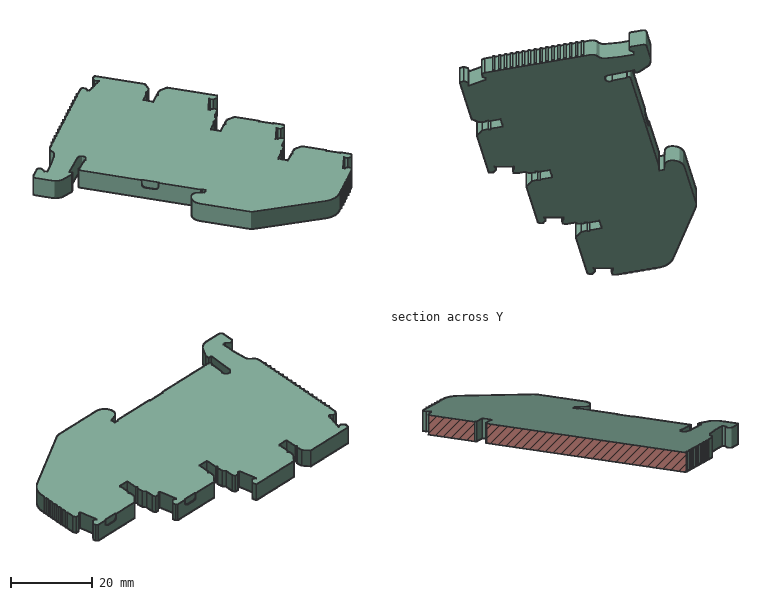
import cadquery as cq

THICKNESS = 5.2
BASE_LAYER = 0.2
TOP_Y = 47.8

SLOT_X = 18.0
STEP_X = 19.6
STEP_Y = 7.95
HEADS = [(SLOT_X + i * STEP_X, TOP_Y - i * STEP_Y) for i in range(3)]

SLOT_HALF = 1.3
SLOT_MOUTH_HALF = 1.4
SLOT_DEPTH = 7.0
MOUTH_TAPER_DEPTH = 2.9
BEVEL_DEPTH = 1.7
BEVEL_OUT = 2.85
ROOF_OUT = 15.8
WALL_OUT = 17.6
LIP_TO_SEAT = [
    (16.0, -1.1),
    (15.25, -2.0),
    (14.5, -2.0),
    (14.1, -1.8),
    (15.25, -6.5),
    (15.8, -6.5),
    (16.3, -5.9),
    (17.3, -5.9),
    (WALL_OUT, -6.75),
]
SHOULDER_DEPTH = 0.9
ROOF_CORNER = 0.4

SNAP_RADIUS = 0.3
SNAP_DEPTH = 3.6

RIB_RADIUS = 0.3
RIB_PITCH = 1.5
LEFT_RIB_COUNT = 16
LEFT_RIB_TOP = 38.7
RIGHT_RIB_COUNT = 6
RIGHT_RIB_TOP = 22.75

LEFT_WALL = SLOT_X - WALL_OUT
RIGHT_WALL = HEADS[-1][0] + WALL_OUT

RAIL_Y = 6.3
RAIL_CORNER_X = 9.85
RAIL_CORNER_RADIUS = 0.7
RIGHT_FOOT_Y = 0.2
RIGHT_FOOT_ROUND = 3.0
RIGHT_SIDE_ROUND = 4.8
TOE_POCKET_X = 42.65
TOE_POCKET_Y = 6.5
SPRING_OUTER_X = 2.8
SPRING_INNER_X = 8.0
SPRING_BARB_X = 8.9
SPRING_BARB_Y = 4.9
SPRING_HEEL_RADIUS = 0.75
SLOPE_START = (56.25, RIGHT_FOOT_Y)
SLOPE_END = (RIGHT_WALL, 11.35)

RECESS_INSET = 0.2
RECESS_HEIGHT = 2.1
RECESS_ROUND = 0.9
RAIL_RECESS_X = 28.4
RAIL_RECESS_WIDTH = 4.3
HEAD_RECESS_OUT = 11.0
HEAD_RECESS_WIDTH = 3.6


def head_profile(corner):
    """Slot floor to outer wall, relative to the slot centre and the roof."""
    roof_end = [(ROOF_OUT, 0)]
    if corner:
        roof_end = [(ROOF_OUT - corner, 0), (ROOF_OUT, -corner)]
    return [
        (SLOT_HALF, -SLOT_DEPTH),
        (SLOT_HALF, -MOUTH_TAPER_DEPTH),
        (SLOT_MOUTH_HALF, -BEVEL_DEPTH),
        (BEVEL_OUT, 0),
    ] + roof_end + LIP_TO_SEAT


def upper_outline():
    """Points from the left wall over all heads to the right wall."""
    points = [(SLOT_X - x, TOP_Y + y) for x, y in reversed(head_profile(0))]
    for i, (slot_x, top) in enumerate(HEADS):
        if i > 0:
            points += [
                (slot_x - STEP_X + WALL_OUT, top - SHOULDER_DEPTH),
                (slot_x - SLOT_MOUTH_HALF, top - BEVEL_DEPTH),
                (slot_x - SLOT_HALF, top - MOUTH_TAPER_DEPTH),
                (slot_x - SLOT_HALF, top - SLOT_DEPTH),
            ]
        corner = ROOF_CORNER if i > 0 else 0
        points += [(slot_x + x, top + y) for x, y in head_profile(corner)]
    return points


def plate():
    outline = (
        cq.Workplane("XY")
        .polyline(upper_outline())
        .lineTo(*SLOPE_END)
        .lineTo(*SLOPE_START)
        .lineTo(42.95, RIGHT_FOOT_Y)
        .threePointArc((40.8, 1.2), (39.95, 3.3))
        .threePointArc((40.3, 4.3), (41.2, 4.9))
        .lineTo(TOE_POCKET_X, 5.3)
        .lineTo(TOE_POCKET_X, TOE_POCKET_Y)
        .lineTo(41.75, TOE_POCKET_Y)
        .lineTo(41.4, RAIL_Y)
        .lineTo(RAIL_CORNER_X, RAIL_Y)
        .lineTo(RAIL_CORNER_X, 7.05)
        .lineTo(10.1, 7.2)
        .lineTo(10.2, 10.9)
        .threePointArc((9.2, 12.55), (8.25, 11.65))
        .lineTo(SPRING_INNER_X, SPRING_BARB_Y)
        .lineTo(SPRING_BARB_X, SPRING_BARB_Y)
        .lineTo(SPRING_BARB_X, 3.9)
        .lineTo(7.35, 1.05)
        .threePointArc((6.3, 0.3), (5.0, 0))
        .lineTo(0, 0)
        .lineTo(0, 3.75)
        .threePointArc((0.7, 4.4), (1.35, 4.2))
        .lineTo(2.0, 3.5)
        .lineTo(SPRING_OUTER_X, 3.7)
        .lineTo(SPRING_OUTER_X, 7.2)
        .lineTo(2.6, 8.85)
        .lineTo(2.4, 11.1)
        .threePointArc((2.0, 11.95), (1.35, 12.55))
        .threePointArc((0.7, 13.2), (LEFT_WALL, 14.1))
        .close()
    )
    body = outline.extrude(THICKNESS)
    for (x, y), radius in [
        (SLOPE_START, RIGHT_FOOT_ROUND),
        (SLOPE_END, RIGHT_SIDE_ROUND),
        ((RAIL_CORNER_X, RAIL_Y), RAIL_CORNER_RADIUS),
        ((0, 0), SPRING_HEEL_RADIUS),
    ]:
        corner = cq.selectors.NearestToPointSelector((x, y, THICKNESS / 2))
        body = body.edges("|Z").edges(corner).fillet(radius)
    return body


def grip_ribs():
    left = [(LEFT_WALL, LEFT_RIB_TOP - i * RIB_PITCH) for i in range(LEFT_RIB_COUNT)]
    right = [(RIGHT_WALL, RIGHT_RIB_TOP - i * RIB_PITCH) for i in range(RIGHT_RIB_COUNT)]
    ribs = cq.Workplane("XY", origin=(0, 0, BASE_LAYER))
    return ribs.pushPoints(left + right).circle(RIB_RADIUS).extrude(THICKNESS - BASE_LAYER)


def snap_grooves():
    centres = [
        (slot_x + side * SLOT_HALF, top - SNAP_DEPTH)
        for slot_x, top in HEADS
        for side in (-1, 1)
    ]
    return cq.Workplane("XY").pushPoints(centres).circle(SNAP_RADIUS).extrude(THICKNESS)


def recess(centre_x, face_y, width):
    """Cutter with rounded lower corners, reaching RECESS_INSET to both sides of the face."""
    return (
        cq.Workplane("XY", origin=(centre_x, face_y, THICKNESS - RECESS_HEIGHT))
        .box(width, 2 * RECESS_INSET, RECESS_HEIGHT, centered=(True, True, False))
        .edges("|Y and <Z")
        .fillet(RECESS_ROUND)
    )


result = plate().union(grip_ribs()).cut(snap_grooves())
result = result.cut(recess(RAIL_RECESS_X, RAIL_Y, RAIL_RECESS_WIDTH))
for slot_x, top in HEADS[1:]:
    result = result.cut(recess(slot_x + HEAD_RECESS_OUT, top, HEAD_RECESS_WIDTH))